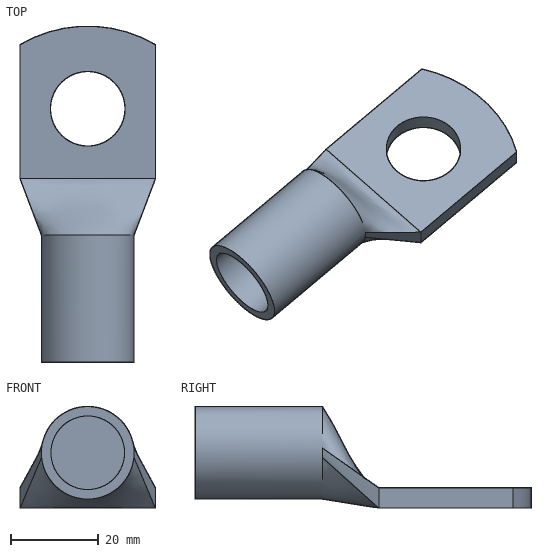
import cadquery as cq
import math

total_length = 76.9
palm_width = 31.0
palm_thickness = 4.7
palm_tip_rise = 4.2
hole_diameter = 17.0
hole_position = 58.0
barrel_diameter = 21.2
bore_diameter = 16.85
barrel_length = 29.1
neck_length = 12.9
overall_height = 23.3
side_strip_height = 2.15
neck_steps = 5

half_width = palm_width / 2
barrel_radius = barrel_diameter / 2
axis_height = overall_height - barrel_radius
palm_start = barrel_length + neck_length
palm_shoulder = total_length - palm_tip_rise


def section_plane(y):
    """Plane across the lug at y, with local axes along X and Z."""
    return cq.Plane(origin=(0, y, 0), xDir=(1, 0, 0), normal=(0, -1, 0))


def make_barrel():
    return (
        cq.Workplane(section_plane(barrel_length))
        .center(0, axis_height)
        .circle(barrel_radius)
        .circle(bore_diameter / 2)
        .extrude(barrel_length)
    )


def make_palm():
    """Flat plate with a bowed tip and a bolt hole."""
    plate = (
        cq.Workplane("XY")
        .moveTo(-half_width, palm_start)
        .lineTo(half_width, palm_start)
        .lineTo(half_width, palm_shoulder)
        .threePointArc((0, total_length), (-half_width, palm_shoulder))
        .close()
        .extrude(palm_thickness)
    )
    hole = cq.Workplane("XY").center(0, hole_position).circle(hole_diameter / 2).extrude(palm_thickness)
    return plate.cut(hole)


def blend(palm_value, barrel_value, fraction):
    return palm_value + (barrel_value - palm_value) * fraction


def neck_section(fraction):
    """Four-sided outline across the neck; fraction runs from 0 at the palm to 1 at the barrel."""
    strip_half = side_strip_height / 2
    strip_x = math.sqrt(barrel_radius**2 - strip_half**2)
    corner_x = blend(half_width, strip_x, fraction)
    side_x = blend(half_width, barrel_radius, fraction)
    upper_z = blend(palm_thickness, axis_height + strip_half, fraction)
    lower_z = blend(0, axis_height - strip_half, fraction)
    bottom_z = blend(0, axis_height - barrel_radius, fraction)
    crown_fraction = 2 * fraction**2 - fraction**3
    crown_z = blend(palm_thickness, overall_height, crown_fraction)

    outline = cq.Workplane(section_plane(blend(palm_start, barrel_length, fraction)))
    outline = outline.moveTo(-corner_x, lower_z)
    if fraction == 0:
        outline = outline.lineTo(corner_x, lower_z).lineTo(corner_x, upper_z).lineTo(-corner_x, upper_z)
    else:
        outline = (
            outline.threePointArc((0, bottom_z), (corner_x, lower_z))
            .threePointArc((side_x, (lower_z + upper_z) / 2), (corner_x, upper_z))
            .threePointArc((0, crown_z), (-corner_x, upper_z))
            .threePointArc((-side_x, (lower_z + upper_z) / 2), (-corner_x, lower_z))
        )
    return outline.close().val()


def make_neck():
    """Solid transition from the round barrel to the rectangular palm, with a dished top."""
    sections = [neck_section(step / neck_steps) for step in range(neck_steps + 1)]
    return cq.Workplane(cq.Solid.makeLoft(sections))


result = make_barrel().union(make_neck()).union(make_palm())